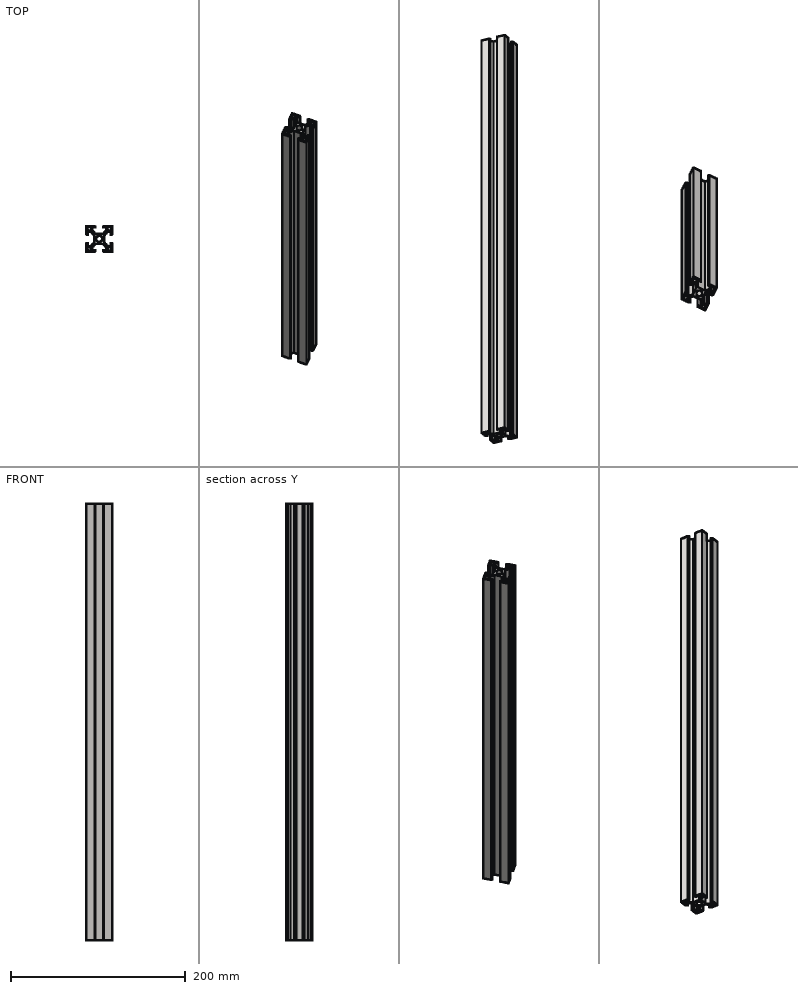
import cadquery as cq
import math

length = 500.0
side = 30.0
half_side = side / 2

lip_thickness = 2.0
slot_width = 9.0
lip_chamfer = 1.0

box_size = 7.0
box_wall = 1.5
box_chamfer = 2.0
hollow_fillet = 1.5

core_width = 12.0
bore_diameter = 6.8
web_thickness = 2.4


def bar(width, depth, x=0.0, y=0.0):
    """Full-length rectangular bar centred at (x, y)."""
    return cq.Workplane("XY").center(x, y).rect(width, depth).extrude(length)


def turn(body, angle):
    """Body turned about the profile's long axis."""
    return body.rotate((0, 0, 0), (0, 0, 1), angle)


def lip_pair():
    """Two lips of the +X, +Y corner, each bevelled where it meets the slot opening."""
    tip = slot_width / 2
    bevel_start = tip + lip_chamfer
    bevel_end = half_side - lip_chamfer
    inner = half_side - lip_thickness
    outline = [
        (bevel_start, half_side),
        (half_side, half_side),
        (half_side, bevel_start),
        (bevel_end, tip),
        (inner, tip),
        (inner, inner),
        (tip, inner),
        (tip, bevel_end),
    ]
    return cq.Workplane("XY").polyline(outline).close().extrude(length)


def corner():
    """Lips, hollow box and diagonal web of the +X, +Y corner."""
    box_centre = half_side - box_size / 2
    web_length = math.hypot(box_centre, box_centre)
    web = turn(bar(web_length, web_thickness, web_length / 2), 45)

    box = bar(box_size, box_size, box_centre, box_centre)
    box = box.edges("|Z and <X and <Y").chamfer(box_chamfer)

    hollow_size = box_size - 2 * box_wall
    hollow = bar(hollow_size, hollow_size, box_centre, box_centre)
    hollow = hollow.edges("|Z").fillet(hollow_fillet)
    return lip_pair().union(box).union(web).cut(hollow)


profile = bar(core_width, core_width)
for quarter in range(4):
    profile = profile.union(turn(corner(), 90 * quarter))

bore = cq.Workplane("XY").circle(bore_diameter / 2).extrude(length)
result = profile.cut(bore)